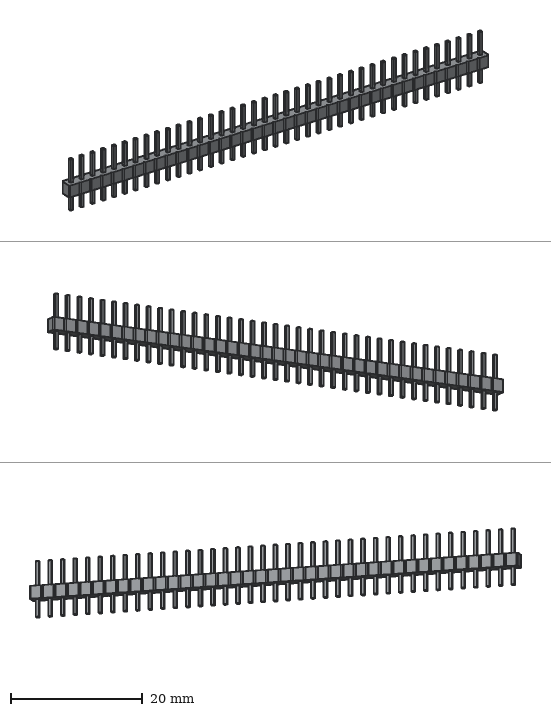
import cadquery as cq

strip_length = 78.0
pin_count = 39
pin_length = 8.8
pin_width = 0.5
pin_below_block = 2.8
tip_chamfer = pin_width / 4
block_chamfer = 0.2

pitch = strip_length / pin_count
block_size = pitch

first_pin_y = -(strip_length - pitch) / 2
pin_positions = [(0, first_pin_y + index * pitch) for index in range(pin_count)]


def repeat_along_row(item):
    """Place a copy of the item at every pin position."""
    return cq.Workplane("XY").pushPoints(pin_positions).eachpoint(item.val(), combine=True)


def make_block():
    """Insulator block for one pin, standing on Z = 0, with chamfered upright edges."""
    return (
        cq.Workplane("XY")
        .box(block_size, block_size, block_size, centered=(True, True, False))
        .edges("|Z")
        .chamfer(block_chamfer)
    )


def make_pin():
    """Straight square pin with chamfered tips, reaching below and above its block."""
    return (
        cq.Workplane("XY")
        .workplane(offset=-pin_below_block)
        .rect(pin_width, pin_width)
        .extrude(pin_length)
        .faces("<Z or >Z")
        .chamfer(tip_chamfer)
    )


insulator = repeat_along_row(make_block())
pins = repeat_along_row(make_pin())
result = insulator.union(pins)